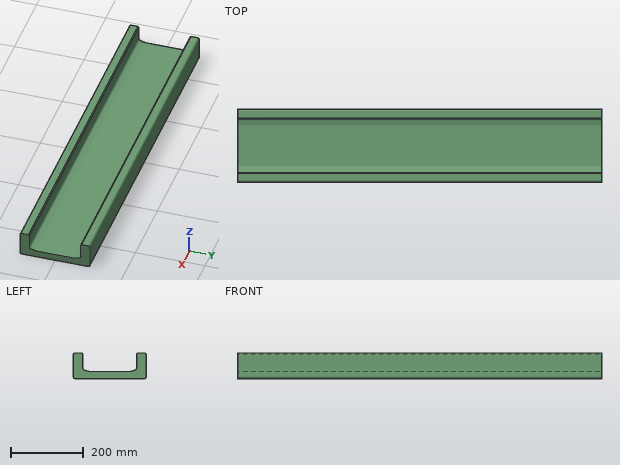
import cadquery as cq

length = 1000.0
width = 201.0
height = 71.0

wall_thickness = 27.0
floor_thickness = 20.0
outer_radius = 6.0
lip_chamfer = 3.0

ramp_width = 18.0
ramp_rise = 5.0
ramp_fillet = 6.0

groove_half_width = width / 2 - wall_thickness
ramp_top = floor_thickness + ramp_rise


def channel_blank():
    """Solid bar with its four long edges rounded."""
    bar = cq.Workplane("XY").box(length, width, height, centered=(True, True, False))
    return bar.edges("|X").fillet(outer_radius)


def groove():
    """Full-length trough with ramped floor edges, rounded corners and chamfered lips."""
    half_outline = [
        (groove_half_width - ramp_width, floor_thickness),
        (groove_half_width, ramp_top),
        (groove_half_width, height - lip_chamfer),
        (groove_half_width + lip_chamfer, height),
    ]
    mirrored_half = [(-y, z) for y, z in reversed(half_outline)]
    trough = (
        cq.Workplane("YZ")
        .polyline(half_outline + mirrored_half)
        .close()
        .extrude(length / 2, both=True)
    )
    for side in (-1, 1):
        corner = (0, side * groove_half_width, ramp_top)
        trough = trough.edges(cq.NearestToPointSelector(corner)).fillet(ramp_fillet)
    return trough


result = channel_blank().cut(groove())